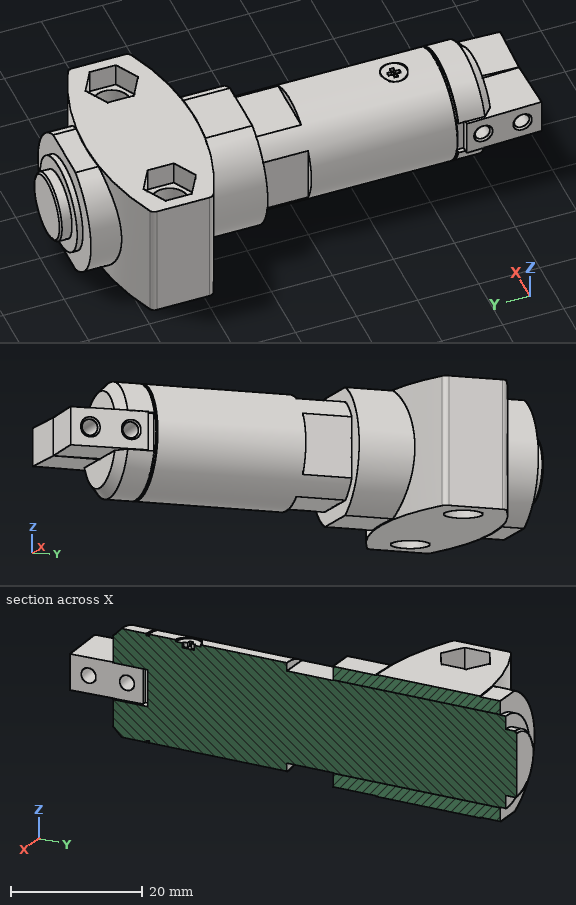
import cadquery as cq
import math


CUTTER_MARGIN = 0.8

FLANGE_LENGTH = 35.0
FLANGE_MIDDLE_WIDTH = 18.0
FLANGE_END_WIDTH = 9.95
FLANGE_HEIGHT = 20.2
FLANGE_CORNER_RADIUS = 1.0
SLEEVE_DIAMETER = 22.0
SLEEVE_FLAT_HEIGHT = 20.0
SLEEVE_BACK_Y = 12.5
SLEEVE_FRONT_Y = -16.5
BOLT_SPACING = 24.0
BOLT_HOLE_DIAMETER = 6.0
NUT_ACROSS_FLATS = 7.45
NUT_DEPTH = 4.0

SHAFT_DIAMETER = 15.3
SHAFT_PROJECTION = 0.9
SHAFT_BACK_Y = SLEEVE_BACK_Y + SHAFT_PROJECTION
KNOB_DIAMETER = 11.0
KNOB_BACK_Y = 15.4
KNOB_CHAMFER = 0.3
BODY_DIAMETER = 18.0
BODY_BACK_Y = -24.4
NOSE_END_DIAMETER = 15.0
NOSE_CHAMFER = (BODY_DIAMETER - NOSE_END_DIAMETER) / 2
NOSE_FRONT_Y = -54.5
GROOVE_DEPTH = 0.3
GROOVE_WIDTH = 0.4
GROOVE_BACK_Y = -48.3
SLOT_FLOOR_Y = GROOVE_BACK_Y - GROOVE_WIDTH / 2

SCREW_Y = -41.5
SCREW_DIAMETER = 4.3
SCREW_FACE_Z = 8.7
CROSS_LENGTH = 2.0
CROSS_ARM_WIDTH = 0.6
CROSS_DEPTH = 0.8

JAW_HEIGHT = 6.0
JAW_WIDTH = 8.55
JAW_LENGTH = 12.4
JAW_TILT = 2.0
JAW_TIP_GAP = 0.1
OVERALL_LENGTH = 77.7
JAW_TIP_Y = KNOB_BACK_Y - OVERALL_LENGTH + JAW_WIDTH * math.sin(math.radians(JAW_TILT))
STEM_WIDTH = 6.6
STEM_INSET = 1.2
STEM_OVERLAP = 0.8
JAW_HOLE_DIAMETER = 2.5
JAW_HOLE_CHAMFER = 0.3
COUNTERSINK_ANGLE = 90
JAW_HOLE_OFFSETS = (3.2, 9.7)


def cylinder(diameter, back_y, front_y):
    """A solid round bar along Y, from back_y forward to front_y."""
    return cq.Workplane("XZ", origin=(0, back_y, 0)).circle(diameter / 2).extrude(back_y - front_y)


def block_along_y(width, height, back_y, front_y):
    """A rectangular bar centred on the gripper axis."""
    return cq.Workplane("XZ", origin=(0, back_y, 0)).rect(width, height).extrude(back_y - front_y)


def make_flange():
    end_x = FLANGE_LENGTH / 2
    end_y = FLANGE_END_WIDTH / 2
    middle_y = FLANGE_MIDDLE_WIDTH / 2
    return (
        cq.Workplane("XY", origin=(0, 0, -FLANGE_HEIGHT / 2))
        .moveTo(-end_x, -end_y)
        .threePointArc((0, -middle_y), (end_x, -end_y))
        .lineTo(end_x, end_y)
        .threePointArc((0, middle_y), (-end_x, end_y))
        .close()
        .extrude(FLANGE_HEIGHT)
        .edges("|Z")
        .fillet(FLANGE_CORNER_RADIUS)
    )


def make_sleeve():
    flats = block_along_y(SLEEVE_DIAMETER, SLEEVE_FLAT_HEIGHT, SLEEVE_BACK_Y, SLEEVE_FRONT_Y)
    return cylinder(SLEEVE_DIAMETER, SLEEVE_BACK_Y, SLEEVE_FRONT_Y).intersect(flats)


def make_bolt_cutters():
    """Two through holes, each with a hexagonal nut pocket in the top face."""
    centres = [(-BOLT_SPACING / 2, 0), (BOLT_SPACING / 2, 0)]
    nut_across_corners = NUT_ACROSS_FLATS / math.cos(math.pi / 6)
    holes = (
        cq.Workplane("XY", origin=(0, 0, -FLANGE_HEIGHT / 2))
        .pushPoints(centres)
        .circle(BOLT_HOLE_DIAMETER / 2)
        .extrude(FLANGE_HEIGHT)
    )
    hexagon = cq.Sketch().regularPolygon(nut_across_corners / 2, 6)
    pockets = (
        cq.Workplane("XY", origin=(0, 0, FLANGE_HEIGHT / 2))
        .pushPoints(centres)
        .placeSketch(hexagon)
        .extrude(-NUT_DEPTH)
    )
    return holes.union(pockets)


def make_bracket():
    bore = cylinder(SHAFT_DIAMETER, SLEEVE_BACK_Y, SLEEVE_FRONT_Y)
    return make_flange().union(make_sleeve()).cut(make_bolt_cutters()).cut(bore)


def make_shaft():
    """The round shaft in the bracket bore, with a knob at its back end."""
    shaft = cylinder(SHAFT_DIAMETER, SHAFT_BACK_Y, SLEEVE_FRONT_Y)
    knob = cylinder(KNOB_DIAMETER, KNOB_BACK_Y, SHAFT_BACK_Y).faces(">Y").chamfer(KNOB_CHAMFER)
    return shaft.union(knob)


def make_neck():
    """Four wrench flats between the sleeve and the full gripper body."""
    square = block_along_y(SHAFT_DIAMETER, SHAFT_DIAMETER, SLEEVE_FRONT_Y, BODY_BACK_Y)
    return cylinder(BODY_DIAMETER, SLEEVE_FRONT_Y, BODY_BACK_Y).intersect(square)


def make_groove_cutter():
    groove_front_y = GROOVE_BACK_Y - GROOVE_WIDTH
    outside = cylinder(BODY_DIAMETER + CUTTER_MARGIN, GROOVE_BACK_Y, groove_front_y)
    core = cylinder(BODY_DIAMETER - 2 * GROOVE_DEPTH, GROOVE_BACK_Y, groove_front_y)
    return outside.cut(core)


def make_screw_cutter():
    """The round recess down to the screw face, and the cross sunk into that face."""
    screw_face = cq.Workplane("XY", origin=(0, SCREW_Y, SCREW_FACE_Z))
    recess = screw_face.circle(SCREW_DIAMETER / 2).extrude(BODY_DIAMETER / 2 - SCREW_FACE_Z)
    arm_along_x = screw_face.rect(CROSS_LENGTH, CROSS_ARM_WIDTH).extrude(-CROSS_DEPTH)
    arm_along_y = screw_face.rect(CROSS_ARM_WIDTH, CROSS_LENGTH).extrude(-CROSS_DEPTH)
    return recess.union(arm_along_x).union(arm_along_y)


def make_gripper():
    barrel = cylinder(BODY_DIAMETER, BODY_BACK_Y, NOSE_FRONT_Y).faces("<Y").chamfer(NOSE_CHAMFER)
    jaw_slot = block_along_y(BODY_DIAMETER + CUTTER_MARGIN, JAW_HEIGHT, SLOT_FLOOR_Y, NOSE_FRONT_Y)
    return (
        make_shaft()
        .union(make_neck())
        .union(barrel)
        .cut(make_groove_cutter())
        .cut(jaw_slot)
        .cut(make_screw_cutter())
    )


def make_blade():
    """The straight blade: inner tip corner at the origin, length along +Y, width along +X."""
    blade = cq.Workplane("XY").box(JAW_WIDTH, JAW_LENGTH, JAW_HEIGHT, centered=(False, False, True))
    return (
        blade.faces(">X")
        .workplane(origin=(JAW_WIDTH, 0, 0))
        .pushPoints([(offset, 0) for offset in JAW_HOLE_OFFSETS])
        .cskHole(JAW_HOLE_DIAMETER, JAW_HOLE_DIAMETER + 2 * JAW_HOLE_CHAMFER, COUNTERSINK_ANGLE)
    )


def make_stem():
    """The narrower root that joins the back of the blade to the slot floor."""
    front_y = JAW_TIP_Y + JAW_LENGTH - STEM_OVERLAP
    stem = cq.Workplane("XY").box(
        STEM_WIDTH, SLOT_FLOOR_Y - front_y, JAW_HEIGHT, centered=(False, False, True)
    )
    return stem.translate((STEM_INSET, front_y, 0))


def make_jaw(side):
    """One jaw, on the +X side for side = 1 and on the -X side for side = -1."""
    blade = make_blade().rotate((0, 0, 0), (0, 0, 1), -JAW_TILT)
    jaw = blade.translate((JAW_TIP_GAP / 2, JAW_TIP_Y, 0)).union(make_stem())
    return jaw if side > 0 else jaw.mirror("YZ")


bracket = make_bracket()
gripper = make_gripper()
jaws = [make_jaw(side) for side in (-1, 1)]

result = cq.Compound.makeCompound([bracket.val(), gripper.val(), *[jaw.val() for jaw in jaws]])